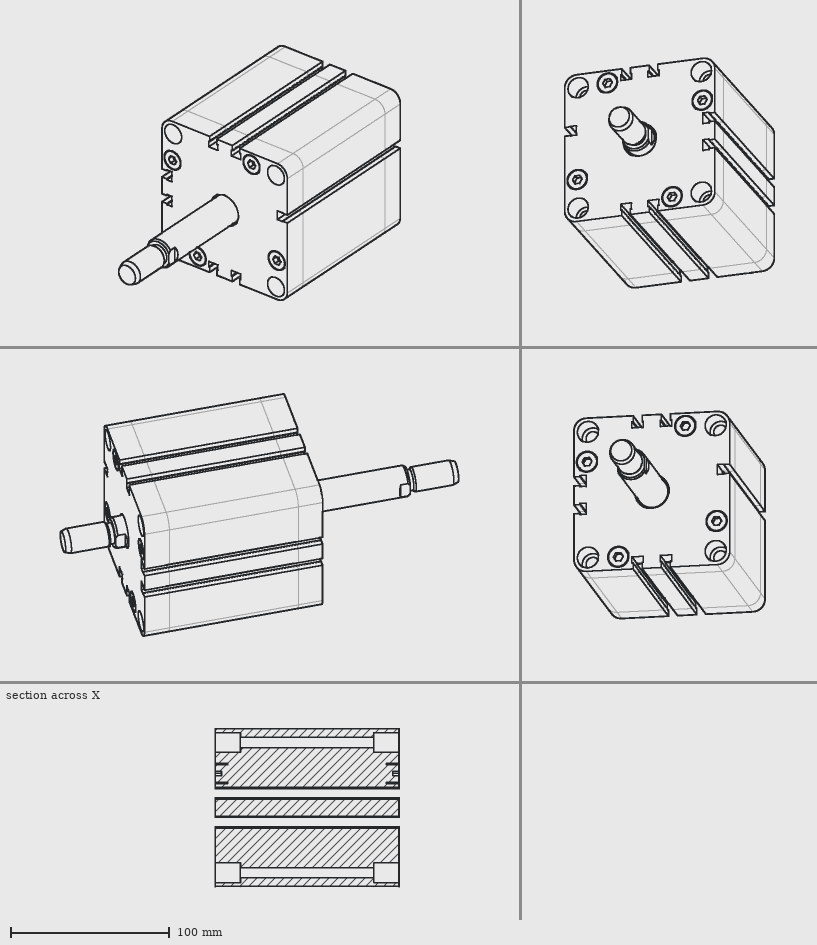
import cadquery as cq


side = 100.0
corner_radius = 8.0
body_length = 116.0
cap_thickness = 16.0
tube_length = body_length - 2 * cap_thickness

rod_diameter = 20.0
rod_front_projection = 100.0
rod_back_projection = 40.0
rod_bore_diameter = 22.0
rod_bore_depth = 2.0
shoulder_chamfer_length = 1.5
shoulder_chamfer_depth = 0.9
stud_length = 32.0
thread_diameter = 16.0
neck_diameter = 13.5
neck_length = 2.75
thread_start_length = 1.25
thread_tip_length = 3.5
flat_width = 17.0
flat_length = 6.2
flat_runout_length = 1.2

mount_offset = 41.0
mount_hole_diameter = 8.57
mount_bore_diameter = 13.5

screw_edge_offset = 41.6
screw_side_offset = 21.5
screw_bore_diameter = 13.5
screw_head_diameter = 12.5
screw_bore_depth = 8.0
socket_corner_width = 6.2
socket_depth = 4.0

slot_center = 9.1
slot_neck_width = 5.8
slot_undercut_width = 7.2
slot_lip = 3.9
cap_slot_depth = 7.9
tube_slot_depth = 7.4
single_slot_center = 12.1
single_slot_neck_width = 5.9
single_slot_undercut_width = 6.4

SLOT_PAIR_ANGLES = (0, 180, 270)
SINGLE_SLOT_ANGLE = 90


def y_plane(y):
    """Plane at the given y whose local axes are X and Z; its normal points to -Y."""
    return cq.Workplane("XZ", origin=(0, y, 0))


def y_cylinder(x, z, diameter, start, length):
    return y_plane(start).center(x, z).circle(diameter / 2).extrude(-length)


def y_turned(solid, angle):
    return solid.rotate((0, 0, 0), (0, 1, 0), angle)


def back_copy(solid):
    """The same shape at the back end of the body."""
    middle = body_length / 2
    return solid.mirror("XZ", (0, middle, 0))


def slot_cutter(center, neck_width, undercut_width, depth, start, length):
    """T-slot cut into the top (+Z) side."""
    top = side / 2
    neck = y_plane(start).center(center, top - depth / 2).rect(neck_width, depth).extrude(-length)
    pocket_height = depth - slot_lip
    pocket = (
        y_plane(start)
        .center(center, top - depth + pocket_height / 2)
        .rect(undercut_width, pocket_height)
        .extrude(-length)
    )
    return neck.union(pocket)


def slotted_block(start, length, depth):
    """A length of the body with two slots in three sides and one in the +X side."""
    block = y_plane(start).rect(side, side).extrude(-length).edges("|Y").fillet(corner_radius)
    for angle in SLOT_PAIR_ANGLES:
        for center in (-slot_center, slot_center):
            cutter = slot_cutter(center, slot_neck_width, slot_undercut_width, depth, start, length)
            block = block.cut(y_turned(cutter, angle))
    single = slot_cutter(
        -single_slot_center, single_slot_neck_width, single_slot_undercut_width, depth, start, length
    )
    return block.cut(y_turned(single, SINGLE_SLOT_ANGLE))


def mounting_holes(diameter, start, length):
    return (
        y_plane(start)
        .rect(2 * mount_offset, 2 * mount_offset, forConstruction=True)
        .vertices()
        .circle(diameter / 2)
        .extrude(-length)
    )


def cut_cap_screw(cap, x, z):
    """Leave the screw head as a ring-bounded island and cut its hexagon socket."""
    bore = y_cylinder(x, z, screw_bore_diameter, 0, screw_bore_depth)
    head = y_cylinder(x, z, screw_head_diameter, 0, screw_bore_depth)
    socket = y_plane(0).center(x, z).polygon(6, socket_corner_width).extrude(-socket_depth)
    return cap.cut(bore.cut(head)).cut(socket)


def end_cap():
    """Front end cap, from y = 0 to the tube."""
    cap = slotted_block(0, cap_thickness, cap_slot_depth)
    cap = cap.cut(mounting_holes(mount_bore_diameter, 0, cap_thickness))
    for sign in (-1, 1):
        cap = cut_cap_screw(cap, sign * screw_side_offset, sign * screw_edge_offset)
        cap = cut_cap_screw(cap, sign * screw_edge_offset, -sign * screw_side_offset)
    return cap.cut(y_cylinder(0, 0, rod_bore_diameter, 0, rod_bore_depth))


def tube():
    block = slotted_block(cap_thickness, tube_length, tube_slot_depth)
    return block.cut(mounting_holes(mount_hole_diameter, cap_thickness, tube_length))


def wrench_flats(shoulder_y):
    """Cutters for the two flats behind the shoulder; each runs out on a short slope."""
    flat_x = flat_width / 2
    outer_x = rod_diameter / 2
    end_y = shoulder_y + flat_length
    cutter = (
        cq.Workplane("XY", origin=(0, 0, -rod_diameter / 2))
        .moveTo(flat_x, shoulder_y)
        .lineTo(outer_x, shoulder_y)
        .lineTo(outer_x, end_y + flat_runout_length)
        .lineTo(flat_x, end_y)
        .close()
        .extrude(rod_diameter)
    )
    return cutter.union(cutter.mirror("YZ"))


def rod_half(projection):
    """Half of the rod, from the middle of the body to a threaded end in front of it."""
    tip_y = -projection
    shoulder_y = tip_y + stud_length
    neck_y = shoulder_y - neck_length
    rod_radius = rod_diameter / 2
    thread_radius = thread_diameter / 2
    neck_radius = neck_diameter / 2
    half = (
        cq.Workplane("XY")
        .moveTo(0, tip_y)
        .lineTo(neck_radius, tip_y)
        .lineTo(thread_radius, tip_y + thread_tip_length)
        .lineTo(thread_radius, neck_y - thread_start_length)
        .lineTo(neck_radius, neck_y)
        .lineTo(neck_radius, shoulder_y)
        .lineTo(rod_radius - shoulder_chamfer_depth, shoulder_y)
        .lineTo(rod_radius, shoulder_y + shoulder_chamfer_length)
        .lineTo(rod_radius, body_length / 2)
        .lineTo(0, body_length / 2)
        .close()
        .revolve(360, (0, 0, 0), (0, 1, 0))
    )
    return half.cut(wrench_flats(shoulder_y))


rod = rod_half(rod_front_projection).union(back_copy(rod_half(rod_back_projection)))

front_cap = end_cap()
body = front_cap.union(tube(), clean=False).union(back_copy(front_cap), clean=False)
result = body.union(rod, clean=False)